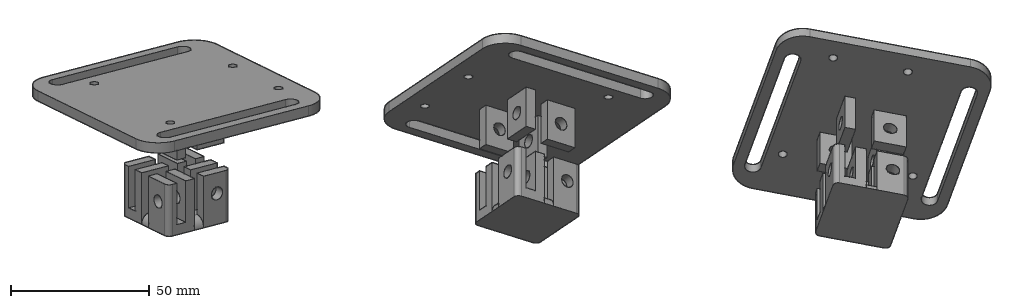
import cadquery as cq

overall_height = 49.0
wall = 4.0
hinge_hole_diameter = 5.0

plate_size = 80.0
plate_corner_radius = 10.0
strap_slot_width = 6.0
strap_slot_spacing = 66.0
strap_slot_back_margin = 10.0
strap_slot_front_margin = 8.0
screw_hole_diameter = 3.2
front_hole_spacing = 48.2
back_hole_spacing = 27.9
back_hole_inset = 5.0
back_hole_y = 31.8
left_hole_pitch = 50.8
right_hole_pitch = 52.1

channel_width = wall
cell_size = 3 * wall
cell_center = (channel_width + cell_size) / 2
block_size = channel_width + 2 * cell_size
tab_height = 16.0
hinge_hole_depth = 8.0

block_height = wall + tab_height
block_corner_radius = 2.0
channel_mouth_radius = wall

plate_bottom = overall_height - wall
cell_angles = (0, 90, 180, 270)


def around_axis(shape, angle):
    """Turn a shape about the Z axis."""
    return shape.rotate((0, 0, 0), (0, 0, 1), angle)


def box_on(length, width, height, x, y, bottom):
    """Box centred at x, y and standing on the level `bottom`."""
    return cq.Workplane("XY", origin=(x, y, bottom)).box(
        length, width, height, centered=(True, True, False)
    )


def hinge_hole(height):
    """Cutter along X through the cell at -X, -Y."""
    return (
        cq.Workplane("YZ", origin=(-cell_center, -cell_center, height))
        .circle(hinge_hole_diameter / 2)
        .extrude(cell_size / 2, both=True)
    )


def make_plate():
    plate = box_on(plate_size, plate_size, wall, 0, 0, plate_bottom)
    plate = plate.edges("|Z").fillet(plate_corner_radius)

    slot_length = plate_size - strap_slot_back_margin - strap_slot_front_margin
    slot_y = (strap_slot_front_margin - strap_slot_back_margin) / 2
    slots = (
        cq.Workplane("XY", origin=(0, slot_y, plate_bottom))
        .pushPoints([(-strap_slot_spacing / 2, 0), (strap_slot_spacing / 2, 0)])
        .slot2D(slot_length, strap_slot_width, 90)
        .extrude(wall)
    )

    front_hole_x = front_hole_spacing / 2
    right_back_x = front_hole_x - back_hole_inset
    screw_holes = (
        cq.Workplane("XY", origin=(0, 0, plate_bottom))
        .pushPoints([
            (-front_hole_x, back_hole_y - left_hole_pitch),
            (front_hole_x, back_hole_y - right_hole_pitch),
            (right_back_x - back_hole_spacing, back_hole_y),
            (right_back_x, back_hole_y),
        ])
        .circle(screw_hole_diameter / 2)
        .extrude(wall)
    )
    return plate.cut(slots).cut(screw_holes)


def make_tab():
    """Hinge tab in the cell at -X, -Y, hanging from the plate."""
    tab = box_on(
        wall, cell_size, tab_height, -cell_center, -cell_center, plate_bottom - tab_height
    )
    return tab.cut(hinge_hole(plate_bottom - hinge_hole_depth))


def make_tabbed_plate():
    """Mounting plate with one hinge tab per cell, each a quarter turn from the last."""
    body = make_plate()
    tab = make_tab()
    for angle in cell_angles:
        body = body.union(around_axis(tab, angle))
    return body


def make_channel():
    """Cutter for the half channel that opens at -Y, with the base edge rounded at its mouth."""
    half_size = block_size / 2
    radius = channel_mouth_radius
    corner = radius * (1 - 0.5 ** 0.5)
    return (
        cq.Workplane("YZ")
        .moveTo(-half_size, wall - radius)
        .threePointArc((-half_size + corner, wall - corner), (-half_size + radius, wall))
        .lineTo(channel_width / 2, wall)
        .lineTo(channel_width / 2, block_height)
        .lineTo(-half_size, block_height)
        .close()
        .extrude(channel_width / 2, both=True)
    )


def make_fork_block():
    """Square block with one slotted fork per cell, each a quarter turn from the last."""
    block = box_on(block_size, block_size, block_height, 0, 0, 0)
    block = block.edges("|Z").fillet(block_corner_radius)
    channel = make_channel()
    fork_slot = box_on(wall, cell_size, tab_height, -cell_center, -cell_center, wall)
    hole = hinge_hole(block_height - hinge_hole_depth)
    for angle in cell_angles:
        for cutter in (channel, fork_slot, hole):
            block = block.cut(around_axis(cutter, angle))
    return block


tabbed_plate = make_tabbed_plate()
fork_block = make_fork_block()
result = cq.Compound.makeCompound([tabbed_plate.val(), fork_block.val()])